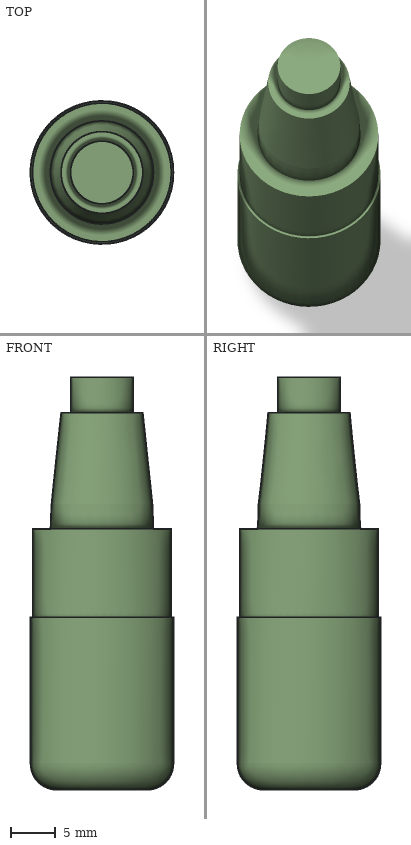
import cadquery as cq

total_height = 46.1

container_diameter = 16.0
container_height = 19.25
bottom_edge_radius = 3.0

collar_diameter = 15.5
collar_height = 9.85
neck_base_diameter = 11.52
neck_height = 2.75
nozzle_base_diameter = 11.3
nozzle_top_diameter = 9.15
tip_diameter = 7.0
tip_height = 3.95

collar_top = container_height + collar_height
neck_top = collar_top + neck_height
nozzle_top = total_height - tip_height


def make_container():
    """Solid cylinder standing on Z = 0 with its bottom edge rounded."""
    cylinder = cq.Workplane("XY").circle(container_diameter / 2).extrude(container_height)
    return cylinder.faces("<Z").edges().fillet(bottom_edge_radius)


def make_cap():
    """Stepped and tapered body of revolution seated on the container."""
    half_profile = (
        cq.Workplane("XZ")
        .moveTo(0, container_height)
        .lineTo(collar_diameter / 2, container_height)
        .lineTo(collar_diameter / 2, collar_top)
        .lineTo(neck_base_diameter / 2, collar_top)
        .lineTo(nozzle_base_diameter / 2, neck_top)
        .lineTo(nozzle_top_diameter / 2, nozzle_top)
        .lineTo(tip_diameter / 2, nozzle_top)
        .lineTo(tip_diameter / 2, total_height)
        .lineTo(0, total_height)
        .close()
    )
    return half_profile.revolve(360, (0, 0, 0), (0, 1, 0))


container = make_container()
cap = make_cap()

result = cq.Compound.makeCompound([container.val(), cap.val()])